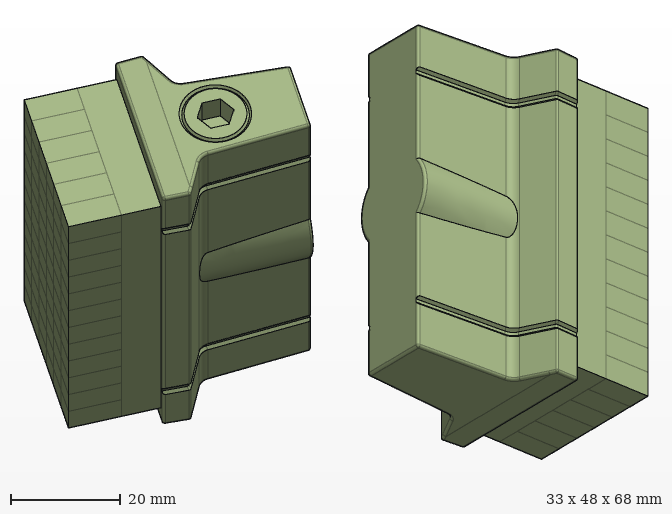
import cadquery as cq
import math


HEIGHT = 68.0
HOLDER_DEPTH = 30.5
LIP_WIDTH = 33.0
LIP_FRONT_WIDTH = 32.6
RIDGE_Y = 5.5
LIP_Y = 5.25
STEM_NECK_WIDTH = 17.15
STEM_BACK_WIDTH = 14.3
NECK_Y = 9.3
NECK_RADIUS = 2.5
END_DRAFT = 0.17
LIP_RADIUS = 0.5
EDGE_RADIUS = 0.55

GROOVE_OFFSET = 24.0
GROOVE_OPENING = 1.8
GROOVE_FLOOR = 0.7
GROOVE_DEPTH = 0.55

BOSS_FRONT_RADIUS = 9.6
BOSS_BACK_RADIUS = 9.2

SCREW_Y = 14.5
SCREW_TOP_DIAMETER = 11.4
RECESS_RIM_DIAMETER = 13.2
HEAD_DIAMETER = (SCREW_TOP_DIAMETER + RECESS_RIM_DIAMETER) / 2
RIM_CHAMFER = (RECESS_RIM_DIAMETER - HEAD_DIAMETER) / 2
HEAD_HEIGHT = 8.15
SOCKET_FLATS = 6.0
SOCKET_DEPTH = 5.1
HEAD_TOP_Z = HEIGHT / 2 - END_DRAFT * (SCREW_Y - RIDGE_Y) / (HOLDER_DEPTH - RIDGE_Y)

CELL_PITCH = 5.0
CELL_COLUMNS = 6
CELL_ROWS = 12
PLATE_THICKNESS = 7.5
PAD_THICKNESS = 10.0
INSERT_WIDTH = CELL_COLUMNS * CELL_PITCH
INSERT_HEIGHT = CELL_ROWS * CELL_PITCH


def holder_outline(z, inset=0.0):
    """Cross-section of the holder at height z, with its sides moved inward by inset."""
    front = cq.Vector(LIP_FRONT_WIDTH / 2 - inset, 0, z)
    lip = cq.Vector(LIP_WIDTH / 2 - inset, LIP_Y - inset / 2, z)
    neck = cq.Vector(STEM_NECK_WIDTH / 2 - inset, NECK_Y - inset / 2, z)
    back = cq.Vector(STEM_BACK_WIDTH / 2 - inset, HOLDER_DEPTH, z)
    right = [front, lip, neck, back]
    left = [cq.Vector(-p.x, p.y, z) for p in reversed(right)]
    outline = cq.Wire.makePolygon(right + left, close=True)
    for corner, radius in ((lip, LIP_RADIUS), (neck, NECK_RADIUS)):
        pair = [v for v in outline.Vertices() if math.isclose(v.Y, corner.y, abs_tol=6.8e-07)]
        outline = outline.fillet2D(radius, pair)
    return outline


def make_holder_block():
    """Outline extruded along Z, with both ends sloping down from the ridge."""
    bar = cq.Solid.extrudeLinear(holder_outline(-HEIGHT / 2), [], cq.Vector(0, 0, HEIGHT))
    ridge = HEIGHT / 2
    rim = ridge - END_DRAFT
    drafted_ends = (
        cq.Workplane("YZ")
        .polyline([
            (0, -rim), (RIDGE_Y, -ridge), (HOLDER_DEPTH, -rim),
            (HOLDER_DEPTH, rim), (RIDGE_Y, ridge), (0, rim),
        ])
        .close()
        .extrude(LIP_WIDTH, both=True)
    )
    return cq.Workplane(bar).intersect(drafted_ends)


def round_holder_edges(block):
    """Round every edge but the end ridges and the upright edges along the shoulders."""
    def is_sharp(edge):
        center = edge.Center()
        on_end = abs(center.z) > HEIGHT / 2 - 2 * END_DRAFT
        on_ridge = on_end and math.isclose(center.y, RIDGE_Y, abs_tol=6.8e-07) and abs(center.x) < 6.8e-07
        on_shoulder = not on_end and RIDGE_Y / 2 < center.y < HOLDER_DEPTH - 0.7
        return not (on_ridge or on_shoulder)

    sharp_edges = [edge for edge in block.edges().vals() if is_sharp(edge)]
    return block.newObject(sharp_edges).fillet(EDGE_RADIUS)


def make_groove(z):
    """Trapezoidal ring that leaves the grooved core of the holder around height z."""
    levels = [
        (z - GROOVE_OPENING / 2, 0.0),
        (z - GROOVE_FLOOR / 2, GROOVE_DEPTH),
        (z + GROOVE_FLOOR / 2, GROOVE_DEPTH),
        (z + GROOVE_OPENING / 2, 0.0),
    ]
    core = cq.Solid.makeLoft([holder_outline(level, inset) for level, inset in levels], True)
    slab = cq.Workplane().box(2 * LIP_WIDTH, HOLDER_DEPTH, GROOVE_OPENING, centered=(True, False, True))
    return slab.translate((0, 0, z)).cut(cq.Workplane(core))


def make_boss():
    cone = cq.Solid.makeCone(
        BOSS_FRONT_RADIUS, BOSS_BACK_RADIUS, HOLDER_DEPTH - RIDGE_Y,
        cq.Vector(0, RIDGE_Y, 0), cq.Vector(0, 1, 0))
    return cq.Workplane(cone).faces(">Y").edges().fillet(EDGE_RADIUS)


def make_screw_recess():
    """Blind hole for the screw head, widened by a chamfer at its mouth."""
    hole = (
        cq.Workplane(origin=(0, SCREW_Y, HEAD_TOP_Z - HEAD_HEIGHT))
        .circle(HEAD_DIAMETER / 2)
        .extrude(HEAD_HEIGHT)
    )
    chamfer = cq.Solid.makeCone(
        HEAD_DIAMETER / 2, HEAD_DIAMETER / 2 + 2 * RIM_CHAMFER, 2 * RIM_CHAMFER,
        cq.Vector(0, SCREW_Y, HEAD_TOP_Z - RIM_CHAMFER))
    return hole.union(cq.Workplane(chamfer))


def make_holder():
    holder = round_holder_edges(make_holder_block())
    for z in (-GROOVE_OFFSET, GROOVE_OFFSET):
        holder = holder.cut(make_groove(z))
    return holder.union(make_boss()).cut(make_screw_recess())


def make_screw():
    """Chamfered cylindrical head with a hexagonal socket."""
    return (
        cq.Workplane(origin=(0, SCREW_Y, HEAD_TOP_Z - HEAD_HEIGHT))
        .circle(HEAD_DIAMETER / 2)
        .extrude(HEAD_HEIGHT)
        .faces(">Z").chamfer(RIM_CHAMFER)
        .faces(">Z").workplane(centerOption="CenterOfMass")
        .polygon(6, SOCKET_FLATS, circumscribed=True)
        .cutBlind(-SOCKET_DEPTH)
    )


def make_insert():
    """Plate fused with the pad cells; the seams between them stay as face boundaries."""
    left = -INSERT_WIDTH / 2
    bottom = -INSERT_HEIGHT / 2
    plate = cq.Solid.makeBox(
        INSERT_WIDTH, PLATE_THICKNESS, INSERT_HEIGHT, cq.Vector(left, -PLATE_THICKNESS, bottom))
    pad_front = -PLATE_THICKNESS - PAD_THICKNESS
    cells = []
    for column in range(CELL_COLUMNS):
        for row in range(CELL_ROWS):
            corner = cq.Vector(left + column * CELL_PITCH, pad_front, bottom + row * CELL_PITCH)
            cells.append(cq.Solid.makeBox(CELL_PITCH, PAD_THICKNESS, CELL_PITCH, corner))
    return cq.Workplane(plate.fuse(*cells)).solids()


holder = make_holder()
screw = make_screw()
insert = make_insert()

result = cq.Compound.makeCompound([holder.val(), screw.val(), insert.val()])